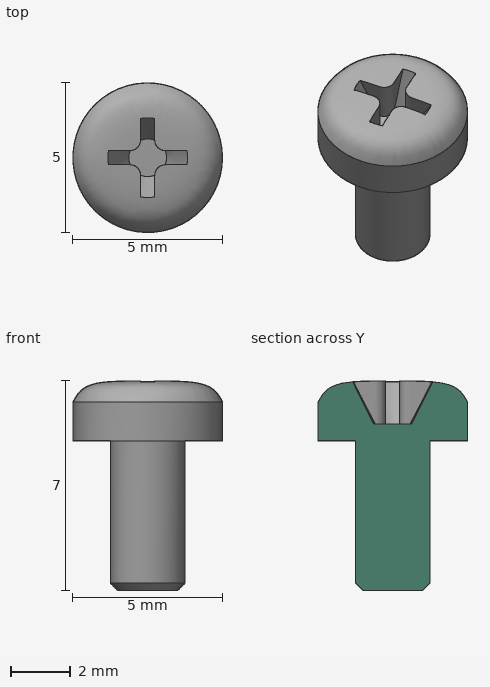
import cadquery as cq
import math

shank_diameter = 2.5
shank_length = 5.0
shank_tip_chamfer = 0.25
head_diameter = 2 * shank_diameter
head_height = 2.0
head_rim_height = 1.3

crown_flat_reach = head_diameter / 3
crown_shoulder_radius = 2.16

wing_width = 0.47
wing_corner_radius = 0.36
recess_top_radius = 1.345
recess_floor_radius = 0.63
recess_half_angle = 26.5

shank_radius = shank_diameter / 2
head_radius = head_diameter / 2
recess_taper = math.tan(math.radians(recess_half_angle))
recess_depth = (recess_top_radius - recess_floor_radius) / recess_taper


def make_shank():
    return (
        cq.Workplane("XY")
        .circle(shank_radius)
        .extrude(-shank_length)
        .faces("<Z")
        .chamfer(shank_tip_chamfer)
    )


def make_head():
    """Pan head: straight rim below a smooth crown, revolved about Z."""
    crown = [
        (head_radius, head_rim_height),
        (crown_shoulder_radius, head_height),
        (crown_flat_reach, head_height),
        (0, head_height),
    ]
    return (
        cq.Workplane("XZ")
        .lineTo(head_radius, 0)
        .lineTo(head_radius, head_rim_height)
        .bezier(crown)
        .close()
        .revolve(360, (0, 0), (0, 1))
    )


def make_recess():
    """Cross with rounded inner corners, trimmed by a cone that narrows downward."""
    floor_height = head_height - recess_depth
    wing_length = 2 * recess_top_radius
    floor_plane = cq.Workplane("XY").workplane(offset=floor_height)
    wing_x = floor_plane.rect(wing_length, wing_width).extrude(recess_depth)
    wing_y = floor_plane.rect(wing_width, wing_length).extrude(recess_depth)
    inner_corner = cq.selectors.BoxSelector(
        (-wing_width, -wing_width, floor_height),
        (wing_width, wing_width, head_height),
    )
    cross = wing_x.union(wing_y).edges("|Z").edges(inner_corner).fillet(wing_corner_radius)
    plug = (
        cq.Workplane("XZ")
        .moveTo(0, floor_height)
        .lineTo(recess_floor_radius, floor_height)
        .lineTo(recess_top_radius, head_height)
        .lineTo(0, head_height)
        .close()
        .revolve(360, (0, 0), (0, 1))
    )
    return cross.intersect(plug)


result = make_head().union(make_shank()).cut(make_recess())